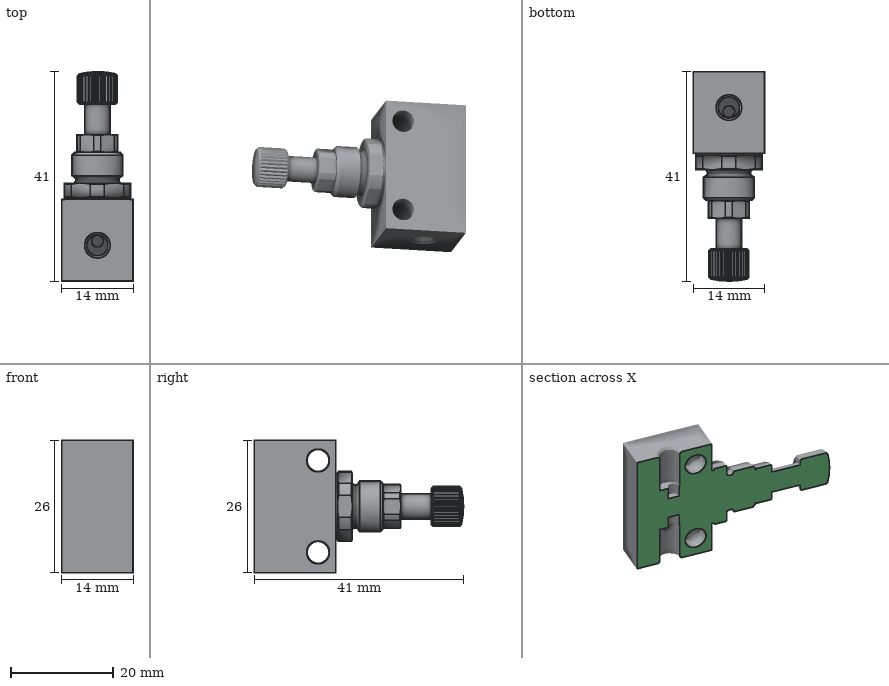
import cadquery as cq
import math

BODY_WIDTH = 14.0
BODY_DEPTH = 16.0
BODY_HEIGHT = 26.0

MOUNT_HOLE_DIAMETER = 4.3
MOUNT_HOLE_CHAMFER = 0.1
MOUNT_HOLE_SPACING = 18.0
MOUNT_HOLE_FROM_BACK = 3.5

PORT_Y = 7.0
PORT_DIAMETER = 4.15
PORT_MOUTH_DIAMETER = 5.0
PORT_DEPTH = 8.2
PASSAGE_DIAMETER = 2.3
PASSAGE_DEPTH = 2.45
PASSAGE_OFFSET = 0.8

TOTAL_LENGTH = 41.0
LOCKNUT_START = BODY_DEPTH + 0.33
LOCKNUT_END = 19.2
BARREL_START = 20.65
BARREL_END = 24.65
SMALL_HEX_START = 25.2
SMALL_HEX_END = 28.7
KNOB_START = 34.65
KNOB_SHOULDER = 40.6

LOCKNUT_FLATS = 13.0
LOCKNUT_CORNERS = 13.7
LOCKNUT_BEVEL = 0.2
SMALL_HEX_FLATS = 8.05
SMALL_HEX_CORNERS = 8.6
SMALL_HEX_BEVEL = 0.15

NECK_DIAMETER = 8.5
NECK_LAND_START = 19.8
NECK_LAND_END = 19.93
NECK_FLARE = 0.308
BARREL_DIAMETER = 10.0
BARREL_CHAMFER_HEIGHT = 0.25
BARREL_TOP_DIAMETER = 8.85

STEM_DIAMETER = 5.0
KNOB_DIAMETER = 7.85
KNOB_CHAMFER_WIDTH = 0.4
KNOB_CHAMFER_HEIGHT = 0.45
KNURL_COUNT = 32
KNURL_DEPTH = 0.3
KNURL_WIDTH = 0.65
KNURL_PHASE = 3.4


def cylinder_y(diameter, start, end):
    """Cylinder on the Y axis between two Y places."""
    return cq.Workplane("XZ", origin=(0, start, 0)).circle(diameter / 2).extrude(start - end)


def hexagon(flats, corners, start, end, bevel):
    """Hexagonal prism on the Y axis with its corners turned and both ends bevelled."""
    vertex_diameter = flats / math.cos(math.pi / 6)
    prism = (
        cq.Workplane("XZ", origin=(0, start, 0))
        .transformed(rotate=(0, 0, 30))
        .polygon(6, vertex_diameter)
        .extrude(start - end)
    )
    bevel_width = (corners - flats) / 2
    envelope = cylinder_y(corners, start, end).faces("<Y or >Y").chamfer(bevel, bevel_width)
    return prism.intersect(envelope)


def flare_middle(land_y, edge_y):
    """Point (radius, Y) halfway along a neck flare that runs tangent into the neck land."""
    length = abs(edge_y - land_y)
    flare_radius = (NECK_FLARE**2 + length**2) / (2 * NECK_FLARE)
    half_angle = math.asin(length / flare_radius) / 2
    radius = NECK_DIAMETER / 2 + flare_radius * (1 - math.cos(half_angle))
    step = math.copysign(flare_radius * math.sin(half_angle), edge_y - land_y)
    return radius, land_y + step


def make_body():
    body = cq.Workplane("XY").box(BODY_WIDTH, BODY_DEPTH, BODY_HEIGHT)
    return body.translate((0, BODY_DEPTH / 2, 0))


def make_mount_holes():
    """Pair of round cutters along X that widen into a small chamfer at each side face."""
    side = BODY_WIDTH / 2
    bore_radius = MOUNT_HOLE_DIAMETER / 2
    mouth_radius = bore_radius + MOUNT_HOLE_CHAMFER
    hole = (
        cq.Workplane("XY")
        .moveTo(-side, 0)
        .lineTo(-side, mouth_radius)
        .lineTo(-side + MOUNT_HOLE_CHAMFER, bore_radius)
        .lineTo(side - MOUNT_HOLE_CHAMFER, bore_radius)
        .lineTo(side, mouth_radius)
        .lineTo(side, 0)
        .close()
        .revolve(360, (0, 0), (1, 0))
    )
    hole_y = BODY_DEPTH - MOUNT_HOLE_FROM_BACK
    upper_hole = hole.translate((0, hole_y, MOUNT_HOLE_SPACING / 2))
    return upper_hole.union(upper_hole.mirror("XY"))


def make_port():
    """Countersunk port in the top face with a smaller blind passage set towards the back of its floor."""
    top = BODY_HEIGHT / 2
    bore_radius = PORT_DIAMETER / 2
    mouth_radius = PORT_MOUTH_DIAMETER / 2
    mouth_depth = mouth_radius - bore_radius
    bore = (
        cq.Workplane("XZ", origin=(0, PORT_Y, 0))
        .moveTo(0, top)
        .lineTo(mouth_radius, top)
        .lineTo(bore_radius, top - mouth_depth)
        .lineTo(bore_radius, top - PORT_DEPTH)
        .lineTo(0, top - PORT_DEPTH)
        .close()
        .revolve(360, (0, 0), (0, 1))
    )
    passage = (
        cq.Workplane("XY", origin=(0, PORT_Y + PASSAGE_OFFSET, top - PORT_DEPTH))
        .circle(PASSAGE_DIAMETER / 2)
        .extrude(-PASSAGE_DEPTH)
    )
    return bore.union(passage)


def make_barrel():
    """Grooved neck above the locknut, followed by the chamfered barrel."""
    neck_radius = NECK_DIAMETER / 2
    flare_end_radius = neck_radius + NECK_FLARE
    chamfer_start = BARREL_START - BARREL_CHAMFER_HEIGHT
    return (
        cq.Workplane("XY")
        .moveTo(0, LOCKNUT_END)
        .lineTo(flare_end_radius, LOCKNUT_END)
        .threePointArc(flare_middle(NECK_LAND_START, LOCKNUT_END), (neck_radius, NECK_LAND_START))
        .lineTo(neck_radius, NECK_LAND_END)
        .threePointArc(flare_middle(NECK_LAND_END, chamfer_start), (flare_end_radius, chamfer_start))
        .lineTo(BARREL_DIAMETER / 2, BARREL_START)
        .lineTo(BARREL_DIAMETER / 2, BARREL_END)
        .lineTo(BARREL_TOP_DIAMETER / 2, SMALL_HEX_START)
        .lineTo(0, SMALL_HEX_START)
        .close()
        .revolve(360, (0, 0), (0, 1))
    )


def make_knob():
    """Knob with a shallow dome, chamfered rims and straight V-shaped knurl grooves."""
    outer_radius = KNOB_DIAMETER / 2
    rim_radius = outer_radius - KNOB_CHAMFER_WIDTH
    dome_height = TOTAL_LENGTH - KNOB_SHOULDER
    dome_radius = (rim_radius**2 + dome_height**2) / (2 * dome_height)
    dome_middle_x = rim_radius / 2
    dome_middle_y = TOTAL_LENGTH - dome_radius + math.sqrt(dome_radius**2 - dome_middle_x**2)
    knob = (
        cq.Workplane("XY")
        .moveTo(0, KNOB_START)
        .lineTo(rim_radius, KNOB_START)
        .lineTo(outer_radius, KNOB_START + KNOB_CHAMFER_HEIGHT)
        .lineTo(outer_radius, KNOB_SHOULDER - KNOB_CHAMFER_HEIGHT)
        .lineTo(rim_radius, KNOB_SHOULDER)
        .threePointArc((dome_middle_x, dome_middle_y), (0, TOTAL_LENGTH))
        .close()
        .revolve(360, (0, 0), (0, 1))
    )

    groove_bottom = outer_radius - KNURL_DEPTH
    cutter_top = outer_radius + KNURL_DEPTH
    groove = (
        cq.Workplane("XZ", origin=(0, KNOB_START, 0))
        .moveTo(0, groove_bottom)
        .lineTo(KNURL_WIDTH, cutter_top)
        .lineTo(-KNURL_WIDTH, cutter_top)
        .close()
        .extrude(KNOB_START - TOTAL_LENGTH)
    )
    pitch_angle = 360 / KNURL_COUNT
    grooves = [
        groove.rotate((0, 0, 0), (0, 1, 0), KNURL_PHASE + index * pitch_angle).val()
        for index in range(KNURL_COUNT)
    ]
    return knob.cut(cq.Workplane(cq.Compound.makeCompound(grooves)))


port = make_port()
body = make_body().cut(make_mount_holes()).cut(port).cut(port.mirror("XY"))

collar = cylinder_y(LOCKNUT_FLATS, BODY_DEPTH, LOCKNUT_START)
locknut = hexagon(LOCKNUT_FLATS, LOCKNUT_CORNERS, LOCKNUT_START, LOCKNUT_END, LOCKNUT_BEVEL)
small_hex = hexagon(SMALL_HEX_FLATS, SMALL_HEX_CORNERS, SMALL_HEX_START, SMALL_HEX_END, SMALL_HEX_BEVEL)
stem = cylinder_y(STEM_DIAMETER, SMALL_HEX_END, KNOB_START)

result = (
    body.union(collar)
    .union(locknut)
    .union(make_barrel())
    .union(small_hex)
    .union(stem)
    .union(make_knob())
)